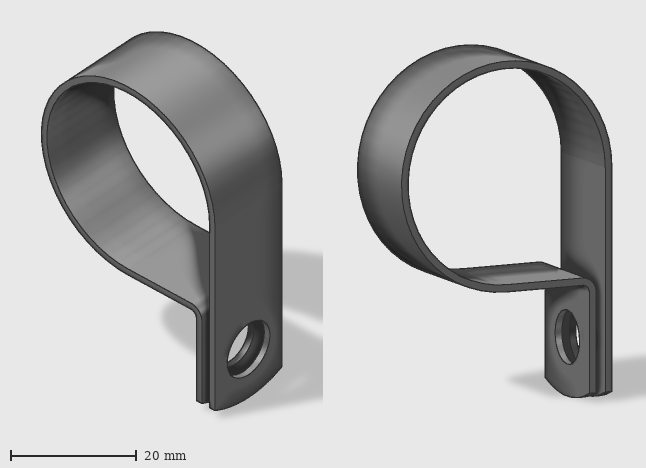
import cadquery as cq
import math

total_height = 56.7
loop_diameter = 37.4
strip_width = 15.9
thickness = 1.2
leg_gap = 1.65
bend_inner_radius = 1.2
short_leg_hole_diameter = 8.75
long_leg_hole_diameter = 10.1
hole_height = 9.6
end_arc_rise = 1.75

outer_radius = loop_diameter / 2
inner_radius = outer_radius - thickness
bend_outer_radius = bend_inner_radius + thickness
bottom_z = outer_radius - total_height
short_leg_right = inner_radius - leg_gap
short_leg_left = short_leg_right - thickness
bend_x = short_leg_right - bend_outer_radius
bend_z = -inner_radius - bend_outer_radius
half_width = strip_width / 2
diagonal = math.sqrt(0.5)


def make_strip():
    """Bent strip: long leg, three-quarter loop, flat shelf, bend and short leg."""
    return (
        cq.Workplane("XZ")
        .moveTo(outer_radius, bottom_z)
        .lineTo(outer_radius, 0)
        .threePointArc((-outer_radius * diagonal, outer_radius * diagonal), (0, -outer_radius))
        .lineTo(bend_x, -outer_radius)
        .threePointArc(
            (bend_x + bend_inner_radius * diagonal, bend_z + bend_inner_radius * diagonal),
            (short_leg_left, bend_z),
        )
        .lineTo(short_leg_left, bottom_z)
        .lineTo(short_leg_right, bottom_z)
        .lineTo(short_leg_right, bend_z)
        .threePointArc(
            (bend_x + bend_outer_radius * diagonal, bend_z + bend_outer_radius * diagonal),
            (bend_x, -inner_radius),
        )
        .lineTo(0, -inner_radius)
        .threePointArc((-inner_radius * diagonal, inner_radius * diagonal), (inner_radius, 0))
        .lineTo(inner_radius, bottom_z)
        .close()
        .extrude(half_width, both=True)
    )


def make_side_outline():
    """Rectangle with an arched lower end, spanning the part in X."""
    corner_z = bottom_z + end_arc_rise
    return (
        cq.Workplane("YZ")
        .moveTo(-half_width, outer_radius)
        .lineTo(-half_width, corner_z)
        .threePointArc((0, bottom_z), (half_width, corner_z))
        .lineTo(half_width, outer_radius)
        .close()
        .extrude(outer_radius, both=True)
    )


def make_bolt_hole(diameter, left_x):
    """Cylinder along X, running from left_x through one leg thickness."""
    return (
        cq.Workplane("YZ", origin=(left_x, 0, bottom_z + hole_height))
        .circle(diameter / 2)
        .extrude(thickness)
    )


result = (
    make_strip()
    .intersect(make_side_outline())
    .cut(make_bolt_hole(short_leg_hole_diameter, short_leg_left))
    .cut(make_bolt_hole(long_leg_hole_diameter, inner_radius))
)